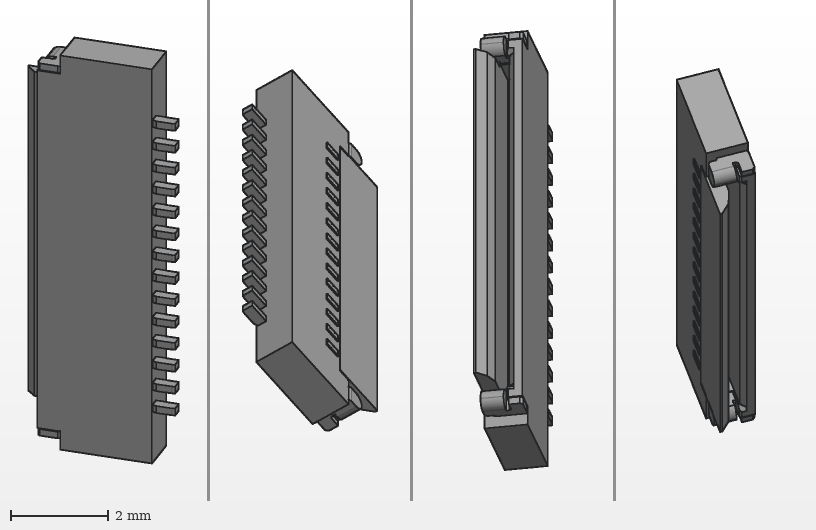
import cadquery as cq


housing_front = 0.5
shoulder_x = 1.0
housing_back = 3.0
housing_top = 0.905
housing_half_length = 4.5
sill_half_length = 4.08
sill_top = 0.335
sill_chamfer = 0.04

slot_floor = 0.30
slot_roof = 0.57
slot_half_length = 3.78
slot_depth = 1.2
mouth_floor = 0.185
mouth_half_length = 3.90
mouth_depth = 0.12

flap_half_length = 3.70
flap_top = 0.92
flap_tip_height = 0.05
flap_bend_x = 0.2
flap_bend_y = 0.68
flap_back_x = 1.31

crown_front_x = 1.39
crown_back_x = 1.79
crown_top = 0.93
crown_root = 0.1

lead_count = 14
lead_pitch = 0.5
lead_width = 0.16
lead_top = 0.25
lead_end = 3.5
lead_heel_length = 0.09
lead_heel_height = 0.035
lead_tip_length = 0.07
lead_tip_height = 0.012

hold_down_outer = 4.25
arm_inner = 3.815
arm_bottom = 0.40
arm_top = 0.885
arm_shoulder_x = 0.66
arm_back_x = 0.95
arm_corner_radius = 0.08
nose_radius = 0.2
root_front_x = 0.78
root_top = 0.67
root_rise = 0.04
root_wing_front_x = 0.92
tab_gap = 0.02
tab_top = 0.29
tab_toe = 0.055
tab_heel_height = 0.02
tab_slope = 0.04


def box(x_range, y_range, z_range):
    """Box spanning the given ranges."""
    x0, x1 = x_range
    y0, y1 = y_range
    z0, z1 = z_range
    return cq.Workplane("XY").box(x1 - x0, y1 - y0, z1 - z0, centered=False).translate((x0, y0, z0))


def slab(outline, z_range):
    """Polygon in X and Y, extruded over a Z range."""
    z0, z1 = z_range
    return cq.Workplane("XY", origin=(0, 0, z0)).polyline(outline).close().extrude(z1 - z0)


def symmetric(half_length):
    """Z range centred on the middle of the part."""
    return (-half_length, half_length)


def make_housing():
    block = box((shoulder_x, housing_back), (0, housing_top), symmetric(housing_half_length))
    sill_outline = [
        (housing_front, 0),
        (shoulder_x, 0),
        (shoulder_x, sill_top),
        (housing_front + sill_chamfer, sill_top),
        (housing_front, sill_top - sill_chamfer),
    ]
    return block.union(slab(sill_outline, symmetric(sill_half_length)))


def make_flap():
    outline = [
        (0, flap_top),
        (0, flap_top - flap_tip_height),
        (flap_bend_x, flap_bend_y),
        (housing_front, slot_roof),
        (flap_back_x, slot_roof),
        (flap_back_x, flap_top),
    ]
    return slab(outline, symmetric(flap_half_length))


def make_slot():
    """Cable slot with a sloped floor lead-in and slanted mouth ends."""
    slot_back = housing_front + slot_depth
    mouth_back = housing_front + mouth_depth
    slot_outline = [
        (housing_front, mouth_floor),
        (mouth_back, slot_floor),
        (slot_back, slot_floor),
        (slot_back, slot_roof),
        (housing_front, slot_roof),
    ]
    slot = slab(slot_outline, symmetric(slot_half_length))
    for side in (-1, 1):
        flare = (
            cq.Workplane("XZ", origin=(0, slot_roof, 0))
            .moveTo(housing_front, side * slot_half_length)
            .lineTo(housing_front, side * mouth_half_length)
            .lineTo(mouth_back, side * slot_half_length)
            .close()
            .extrude(slot_roof - mouth_floor)
        )
        slot = slot.union(flare)
    return slot


def make_lead(z):
    outline = [
        (housing_back, lead_top),
        (housing_back, lead_heel_height),
        (housing_back + lead_heel_length, 0),
        (lead_end - lead_tip_length, 0),
        (lead_end, lead_tip_height),
        (lead_end, lead_top),
    ]
    return slab(outline, (z - lead_width / 2, z + lead_width / 2))


def make_crown(z):
    return box(
        (crown_front_x, crown_back_x),
        (housing_top - crown_root, crown_top),
        (z - lead_width / 2, z + lead_width / 2),
    )


def make_arm():
    """Arm with a nose of two arcs that meet at its foremost line."""
    nose_z = hold_down_outer - nose_radius
    nose_x = housing_front + nose_radius
    arm = (
        cq.Workplane("XZ", origin=(0, arm_top, 0))
        .moveTo(arm_back_x, hold_down_outer)
        .lineTo(nose_x, hold_down_outer)
        .tangentArcPoint((housing_front, nose_z), relative=False)
        .tangentArcPoint((arm_shoulder_x, arm_inner), relative=False)
        .lineTo(arm_back_x, arm_inner)
        .close()
        .extrude(arm_top - arm_bottom)
    )
    return arm.edges("|Z and >X and >Y").fillet(arm_corner_radius)


def make_root():
    """Block joining arm, tab and housing, with a wing towards the flap."""
    outline = [
        (root_front_x, tab_top),
        (shoulder_x, tab_top),
        (shoulder_x, root_top),
        (arm_back_x, root_top + root_rise),
        (root_front_x, root_top + root_rise),
    ]
    core = slab(outline, (arm_inner, hold_down_outer))
    wing = box((root_wing_front_x, shoulder_x), (slot_roof, root_top), (flap_half_length, arm_inner))
    return core.union(wing)


def make_tab():
    outline = [
        (housing_front, tab_top),
        (housing_front, tab_toe),
        (housing_front + tab_toe, 0),
        (shoulder_x - tab_toe, 0),
        (shoulder_x, tab_heel_height),
        (shoulder_x, sill_top),
        (root_front_x, sill_top),
        (root_front_x - tab_slope, tab_top),
    ]
    return slab(outline, (sill_half_length + tab_gap, hold_down_outer))


result = make_housing().union(make_flap()).cut(make_slot())

hold_down = make_arm().union(make_root()).union(make_tab())
result = result.union(hold_down).union(hold_down.mirror("XY"))

for index in range(lead_count):
    lead_z = (index - (lead_count - 1) / 2) * lead_pitch
    result = result.union(make_lead(lead_z)).union(make_crown(lead_z))